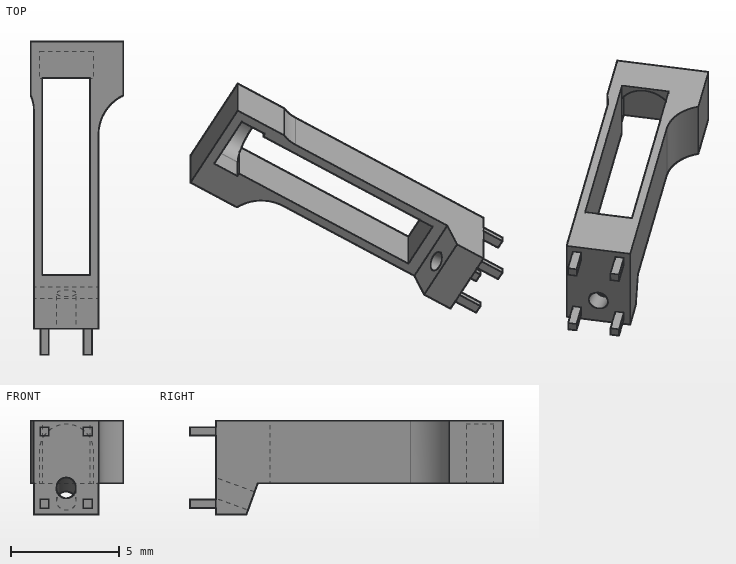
import cadquery as cq
import math

BODY_WIDTH = 3.0
BODY_LENGTH = 13.3
BODY_HEIGHT = 2.9

HEAD_LENGTH = 2.5
HEAD_OVERHANG_LEFT = 0.15
HEAD_OVERHANG_RIGHT = 1.15
BLEND_RADIUS_LEFT = 1.6
BLEND_RADIUS_RIGHT = 2.0

FOOT_DROP = 1.45
FOOT_LENGTH = 1.42
FOOT_SLOPE_ANGLE = 20.0

WINDOW_WIDTH = 2.2
WINDOW_START = 2.5
WINDOW_LENGTH = 9.1

ARCH_WIDTH = 2.5
ARCH_CROWN = 0.15
RECESS_DEPTH = 1.25

HOLE_DIAMETER = 0.9
HOLE_ENTRY_HEIGHT = 1.24

PIN_SIZE = 0.4
PIN_LENGTH = 1.2
PIN_INSET = 0.5

HALF_WIDTH = BODY_WIDTH / 2
SLOPE = math.radians(FOOT_SLOPE_ANGLE)
FOOT_ROOT_LENGTH = FOOT_LENGTH + FOOT_DROP * math.tan(SLOPE)


def blend_points(side, overhang, radius):
    """Return start, middle and end of a neck arc, from the beam side out to the head corner."""
    sweep = math.acos(1 - overhang / radius)
    head_front = BODY_LENGTH - HEAD_LENGTH
    start_y = head_front - radius * math.sin(sweep)

    def point_at(angle):
        x = HALF_WIDTH + radius * (1 - math.cos(angle))
        return (side * x, start_y + radius * math.sin(angle))

    return point_at(0), point_at(sweep / 2), point_at(sweep)


def make_beam():
    right_start, right_middle, right_end = blend_points(1, HEAD_OVERHANG_RIGHT, BLEND_RADIUS_RIGHT)
    left_start, left_middle, left_end = blend_points(-1, HEAD_OVERHANG_LEFT, BLEND_RADIUS_LEFT)
    return (
        cq.Workplane("XY")
        .moveTo(-HALF_WIDTH, 0)
        .lineTo(HALF_WIDTH, 0)
        .lineTo(*right_start)
        .threePointArc(right_middle, right_end)
        .lineTo(right_end[0], BODY_LENGTH)
        .lineTo(left_end[0], BODY_LENGTH)
        .lineTo(*left_end)
        .threePointArc(left_middle, left_start)
        .close()
        .extrude(BODY_HEIGHT)
    )


def make_foot():
    profile = [
        (0, 0),
        (0, -FOOT_DROP),
        (FOOT_LENGTH, -FOOT_DROP),
        (FOOT_ROOT_LENGTH, 0),
    ]
    return cq.Workplane("YZ").polyline(profile).close().extrude(HALF_WIDTH, both=True)


def make_window():
    return (
        cq.Workplane("XY")
        .box(WINDOW_WIDTH, WINDOW_LENGTH, BODY_HEIGHT, centered=(True, False, False))
        .translate((0, WINDOW_START, 0))
    )


def make_recess():
    """A round-topped pocket with straight sides, running back from the end of the window."""
    arch_radius = ARCH_WIDTH / 2
    arch_top = BODY_HEIGHT - ARCH_CROWN
    spring_height = arch_top - arch_radius
    return (
        cq.Workplane("XZ", origin=(0, WINDOW_START + WINDOW_LENGTH, 0))
        .moveTo(-arch_radius, 0)
        .lineTo(arch_radius, 0)
        .lineTo(arch_radius, spring_height)
        .threePointArc((0, arch_top), (-arch_radius, spring_height))
        .close()
        .extrude(-RECESS_DEPTH)
    )


def make_inclined_hole():
    """A cylinder centred on the hole entry that falls towards the back, past both foot faces."""
    half_length = FOOT_ROOT_LENGTH + HOLE_DIAMETER
    axis = cq.Vector(0, math.cos(SLOPE), -math.sin(SLOPE))
    entry = cq.Vector(0, 0, HOLE_ENTRY_HEIGHT - FOOT_DROP)
    start = entry - axis * half_length
    return cq.Workplane(cq.Solid.makeCylinder(HOLE_DIAMETER / 2, 2 * half_length, start, axis))


def make_pins():
    pin_x = HALF_WIDTH - PIN_INSET
    pin_heights = (PIN_INSET - FOOT_DROP, BODY_HEIGHT - PIN_INSET)
    centers = [(side * pin_x, z) for side in (-1, 1) for z in pin_heights]
    return cq.Workplane("XZ").pushPoints(centers).rect(PIN_SIZE, PIN_SIZE).extrude(PIN_LENGTH)


result = (
    make_beam()
    .union(make_foot())
    .cut(make_window())
    .cut(make_recess())
    .cut(make_inclined_hole())
    .union(make_pins())
)